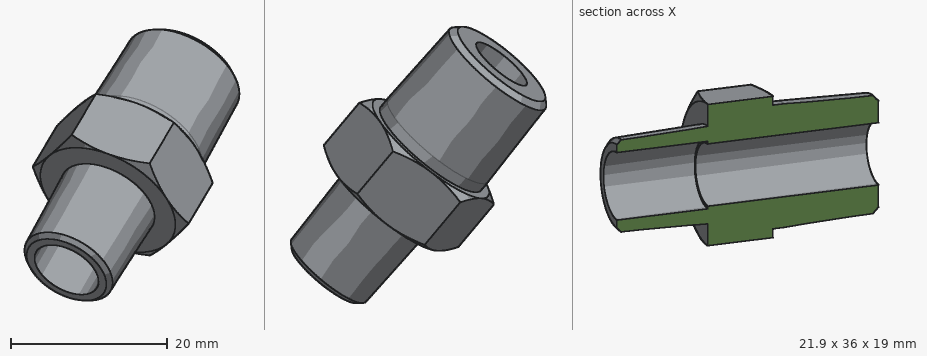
import cadquery as cq
import math

total_length = 36.0

hex_sides = 6
hex_across_flats = 19.0
hex_start = 12.5
hex_length = 9.0
hex_end = hex_start + hex_length
hex_across_corners = hex_across_flats / math.cos(math.pi / hex_sides)
hex_chamfer_angle = 30.0

taper_on_diameter = 1 / 16
taper_on_radius = taper_on_diameter / 2
small_root_radius = 13.157 / 2
small_chamfer = 0.6
large_root_radius = 16.662 / 2
large_chamfer = 0.8
large_straight_length = 1.5

small_end_bore_diameter = 9.0
through_bore_diameter = 8.3
bore_step_depth = hex_start


def revolve_about_y(points):
    """Revolve a closed (radius, y) outline a full turn about the Y axis."""
    return cq.Workplane("XY").polyline(points).close().revolve(360, (0, 0, 0), (0, 1, 0))


def make_hexagon():
    """Hexagon with its corners turned off by a cone at each end."""
    prism = (
        cq.Workplane("XZ", origin=(0, hex_end, 0))
        .polygon(hex_sides, hex_across_corners)
        .extrude(hex_length)
    )
    face_radius = hex_across_flats / 2
    corner_radius = hex_across_corners / 2
    chamfer_length = (corner_radius - face_radius) * math.tan(math.radians(hex_chamfer_angle))
    turned_blank = revolve_about_y([
        (0, hex_start),
        (face_radius, hex_start),
        (corner_radius, hex_start + chamfer_length),
        (corner_radius, hex_end - chamfer_length),
        (face_radius, hex_end),
        (0, hex_end),
    ])
    return prism.intersect(turned_blank)


def make_small_spigot():
    """Spigot tapering from the hexagon to the chamfered end at Y = 0."""
    tip_radius = small_root_radius - (hex_start - small_chamfer) * taper_on_radius
    return revolve_about_y([
        (0, 0),
        (tip_radius - small_chamfer, 0),
        (tip_radius, small_chamfer),
        (small_root_radius, hex_start),
        (0, hex_start),
    ])


def make_large_spigot():
    """Spigot with a short straight neck, then a taper to its chamfered end."""
    taper_start = hex_end + large_straight_length
    taper_end = total_length - large_chamfer
    tip_radius = large_root_radius - (taper_end - taper_start) * taper_on_radius
    return revolve_about_y([
        (0, hex_end),
        (large_root_radius, hex_end),
        (large_root_radius, taper_start),
        (tip_radius, taper_end),
        (tip_radius - large_chamfer, total_length),
        (0, total_length),
    ])


def make_bore():
    """Bore through the whole part, stepping down past the small spigot."""
    return revolve_about_y([
        (0, 0),
        (small_end_bore_diameter / 2, 0),
        (small_end_bore_diameter / 2, bore_step_depth),
        (through_bore_diameter / 2, bore_step_depth),
        (through_bore_diameter / 2, total_length),
        (0, total_length),
    ])


body = make_hexagon().union(make_small_spigot()).union(make_large_spigot())
result = body.cut(make_bore())